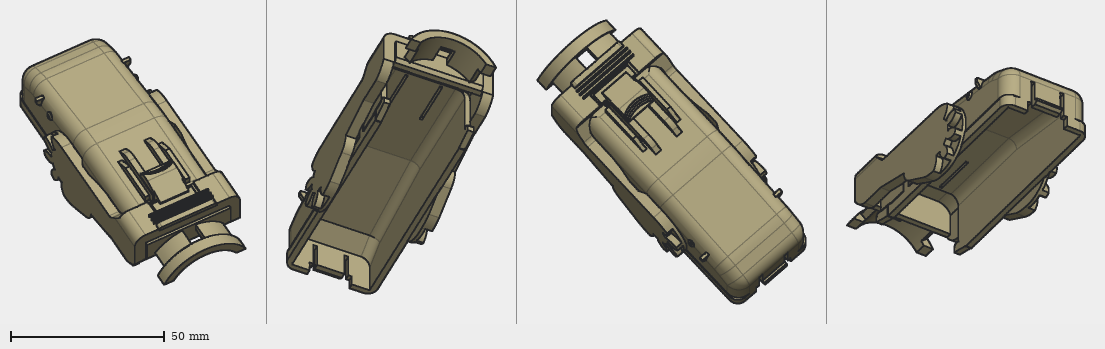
import cadquery as cq
import math


NOSE_X = 1.3
BASE_Z = 4.8
LEDGE_Z = 8.9
ROOF_Z = 29.7
BODY_END = 77.6
BODY_HALF = 15.9
SKIRT_HALF = 16.1
SKIRT_END = 73.2
ROUND_R = 5.2
SKIRT_CORNER_R = 3.6
BROW_X, BROW_Z = 9.9, 25.0
SHOULDER_X = 42.0
NOSE_TOP_Z = 21.4
BROW_R = 14.9
SHOULDER_R = 49.7
TAIL_R = 3.6
WALL = 2.0

LEVER_WIDTH = 39.3
LEVER_HALF = LEVER_WIDTH / 2
PLATE_INNER = 17.2
PIVOT_X, PIVOT_Z = 38.1, 12.2
DISC_R = 12.2
BRIDGE_FRONT = 76.1
BRIDGE_END = 87.6
SLOPE_START = (72.0, 25.8)
SLOPE_END = (BRIDGE_FRONT, 30.2)
BRIDGE_TOP = 32.1
BRIDGE_ROUND = 4.0
LEVER_FOOT_Z = 14.3
REAR_WALL = 2.1
REAR_WALL_Z = 18.7

TONGUE_HALF = 5.8
SLOT_WIDTH = 0.9
SLOT_OUTER = TONGUE_HALF + SLOT_WIDTH
SLOT_START = 60.1

COLLAR_Z = 10.9
COLLAR_INNER_R = 13.9
ARM_R = 16.5
COLLAR_R = 17.0
FLANGE_END = 88.6
RING_START = 95.0
RING_END = 99.4
RING_BOTTOM = 18.5


def box(x0, x1, y0, y1, z0, z1):
    return cq.Workplane("XY").box(x1 - x0, y1 - y0, z1 - z0, centered=False).translate((x0, y0, z0))


def centred_box(x0, x1, half, z0, z1):
    return box(x0, x1, -half, half, z0, z1)


def side_extrude(outline, y0, y1):
    """Extrude a closed XZ outline from y0 to y1."""
    return outline.extrude(y0 - y1).translate((0, y0, 0))


def side_polygon(points, y0, y1):
    return side_extrude(cq.Workplane("XZ").polyline(points).close(), y0, y1)


def both_sides(shape):
    return shape.union(shape.mirror("XZ"))


def near(x, z):
    """Select the edges across the width that pass through (x, z)."""
    tol = 0.1
    return cq.selectors.BoxSelector((x - tol, -tol, z - tol), (x + tol, tol, z + tol))


def make_shell():
    profile = [
        (NOSE_X, LEDGE_Z), (NOSE_X, NOSE_TOP_Z), (BROW_X, BROW_Z),
        (SHOULDER_X, ROOF_Z), (BODY_END, ROOF_Z), (BODY_END, LEDGE_Z),
    ]
    body = side_polygon(profile, -BODY_HALF, BODY_HALF)
    body = body.edges(near(BROW_X, BROW_Z)).fillet(BROW_R)
    body = body.edges(near(SHOULDER_X, ROOF_Z)).fillet(SHOULDER_R)

    corner_edges = body.edges("|Z and <X")
    brow_edge = body.edges(near(NOSE_X, NOSE_TOP_Z))
    roof_edges = body.faces("<Y or >Y").edges("not(|Z or <Z)")
    rounded = corner_edges.add(brow_edge).add(roof_edges)
    body = body.newObject(rounded.vals()).fillet(ROUND_R)

    tail_cut = (
        cq.Workplane("XZ")
        .moveTo(BODY_END - TAIL_R, ROOF_Z)
        .radiusArc((BODY_END, ROOF_Z - TAIL_R), TAIL_R)
        .lineTo(BODY_END, ROOF_Z)
        .close()
    )
    body = body.cut(side_extrude(tail_cut, -BODY_HALF, BODY_HALF))

    skirt = centred_box(NOSE_X, SKIRT_END, SKIRT_HALF, BASE_Z, LEDGE_Z)
    skirt = skirt.edges("|Z and <X").fillet(SKIRT_CORNER_R)
    return body.union(skirt)


def make_side_details():
    lug = side_polygon(
        [(71.6, 9.2), (79.2, 9.9), (80.1, 9.1), (80.1, 6.8), (73.5, 5.1), (71.6, 5.1)],
        BODY_HALF - WALL, SKIRT_HALF,
    )
    groove = box(SKIRT_END, SKIRT_END + 0.3, BODY_HALF, SKIRT_HALF, BASE_Z, 9.3)
    lug = lug.cut(groove)
    strip = box(60.6, 63.6, BODY_HALF - WALL, SKIRT_HALF, LEDGE_Z, LEVER_FOOT_Z)
    tab = (
        cq.Workplane("YZ")
        .polyline([(14.6, 24.3), (17.5, 24.3), (17.5, 22.8), (16.3, 21.0), (15.4, 21.0)])
        .close()
        .extrude(1.3)
        .translate((16.5, 0, 0))
    )
    button = (
        cq.Workplane("XZ", origin=(23.8, 16.5, 22.2))
        .circle(1.5)
        .extrude(2.0)
        .faces(">Y").chamfer(0.6)
        .faces(">Y").workplane().hole(1.2, 0.4)
    )
    return both_sides(lug.union(strip).union(tab).union(button))


def make_cavity():
    inner_nose = NOSE_X + WALL
    profile = [
        (inner_nose, BASE_Z), (inner_nose, NOSE_TOP_Z - WALL), (BROW_X, BROW_Z - WALL),
        (SHOULDER_X, ROOF_Z - WALL), (BODY_END, ROOF_Z - WALL), (BODY_END, BASE_Z),
    ]
    cavity = side_polygon(profile, WALL - BODY_HALF, BODY_HALF - WALL)
    return cavity.faces("<Y or >Y").edges("not(|Z or <Z)").fillet(ROUND_R - WALL)


def cut_nose(shell):
    tab_half = 4.9
    opening_top, slot_top = 8.5, 17.4
    opening = centred_box(NOSE_X, NOSE_X + WALL, 7.6, BASE_Z, opening_top)
    slot = box(NOSE_X, NOSE_X + WALL, tab_half, tab_half + 1.4, opening_top, slot_top)
    hook_root, hook_top = NOSE_X + 0.5, 10.5
    hook = side_polygon(
        [
            (hook_root, hook_top), (0.4, hook_top), (0, 10.1), (0, 9.3),
            (NOSE_X, opening_top), (hook_root, opening_top),
        ],
        -tab_half, tab_half,
    )
    return shell.cut(opening).cut(both_sides(slot)).union(hook)


def make_latch():
    hump_start, crest_x, step_x, tip_x = 65.7, 70.6, 74.6, 78.9
    hump_half, tip_half = 5.6, 5.3
    hump_top, tip_z = 35.3, 32.7
    step_z = hump_top + (tip_z - hump_top) * (step_x - crest_x) / (tip_x - crest_x)
    root_z = ROOF_Z - WALL
    tail_start = BODY_END - TAIL_R
    hump = side_polygon(
        [
            (hump_start, root_z), (hump_start, hump_top), (crest_x, hump_top),
            (step_x, step_z), (step_x, root_z),
        ],
        -hump_half, hump_half,
    )
    tip = side_polygon(
        [
            (step_x, root_z), (step_x, step_z), (tip_x, tip_z),
            (tip_x, tip_z - 0.6), (76.5, 31.2), (75.9, root_z),
        ],
        -tip_half, tip_half,
    )
    grip_r, rise, run = 10.5, 0.6, 0.7
    first_x, first_z = 67.2, 33.0
    for step in range(4):
        front = first_x + step * run
        bite = cq.Workplane("XY").circle(grip_r).extrude(hump_top)
        hump = hump.cut(bite.translate((front - grip_r, 0, first_z + step * rise)))

    rail_start, rail_inner = 52.2, 3.4
    hump = hump.cut(centred_box(hump_start, tail_start, rail_inner, ROOF_Z, BRIDGE_TOP))

    rail_outline = (
        cq.Workplane("XZ")
        .moveTo(rail_start, ROOF_Z)
        .lineTo(54.4, 31.1)
        .threePointArc((56.3, 31.9), (58.4, BRIDGE_TOP))
        .lineTo(step_x, BRIDGE_TOP)
        .lineTo(step_x, root_z)
        .lineTo(rail_start, root_z)
        .close()
    )
    tongue_rail = side_extrude(rail_outline, rail_inner, TONGUE_HALF)
    guide_x, guide_width = 55.7, 1.6
    guide_rail = side_polygon(
        [
            (guide_x, root_z), (guide_x, ROOF_Z), (60.6, BRIDGE_TOP),
            (tail_start, BRIDGE_TOP), (tail_start, root_z),
        ],
        SLOT_OUTER, SLOT_OUTER + guide_width,
    )
    return hump.union(tip).union(both_sides(tongue_rail.union(guide_rail)))


def polar(radius, degrees):
    """XZ point at an angle about the lever pivot."""
    angle = math.radians(degrees)
    return PIVOT_X + radius * math.cos(angle), PIVOT_Z + radius * math.sin(angle)


def make_notch(degrees):
    """Rim notch with convex flanks that open out towards the rim."""
    floor_r, floor_half = 7.0, 9.0
    flank_r, flank_half = 9.5, 9.0
    rim_half = 16.5
    rim_r = DISC_R + 0.1
    outline = (
        cq.Workplane("XZ")
        .moveTo(*polar(rim_r, degrees - rim_half))
        .threePointArc(polar(flank_r, degrees - flank_half), polar(floor_r, degrees - floor_half))
        .lineTo(*polar(floor_r, degrees + floor_half))
        .threePointArc(polar(flank_r, degrees + flank_half), polar(rim_r, degrees + rim_half))
        .threePointArc(polar(rim_r + 1.0, degrees), polar(rim_r, degrees - rim_half))
        .close()
    )
    return side_extrude(outline, PLATE_INNER, LEVER_HALF)


def make_lever_side():
    rim_top = polar(DISC_R, 90)
    rim_bottom = polar(DISC_R, 278)
    outline = (
        cq.Workplane("XZ")
        .moveTo(*rim_bottom)
        .threePointArc(polar(DISC_R, 184), rim_top)
        .lineTo(70.2, 24.9)
        .threePointArc((71.2, 25.2), SLOPE_START)
        .lineTo(*SLOPE_END)
        .lineTo(BRIDGE_FRONT, BRIDGE_TOP)
        .lineTo(BRIDGE_END, BRIDGE_TOP)
        .lineTo(BRIDGE_END, REAR_WALL_Z)
        .threePointArc((85.9, 16.6), (81.5, LEVER_FOOT_Z))
        .lineTo(71.9, LEVER_FOOT_Z)
        .lineTo(57.9, 10.9)
        .threePointArc((57.1, 8.2), (54.7, 6.0))
        .lineTo(45.4, 1.2)
        .threePointArc((42.7, 0.4), rim_bottom)
        .close()
    )
    side = side_extrude(outline, BODY_HALF, LEVER_HALF)

    first_angle, pitch = 139, 41
    for index in range(4):
        side = side.cut(make_notch(first_angle + pitch * index))

    relief = (
        cq.Workplane("XY")
        .polyline([
            (45.4, BODY_HALF), (48.0, PLATE_INNER), (52.2, PLATE_INNER),
            (57.7, 16.3), (62.6, BODY_HALF),
        ])
        .close()
        .extrude(BRIDGE_TOP)
        .translate((0, 0, REAR_WALL_Z))
    )
    return side.cut(relief)


def make_bridge():
    block = centred_box(BRIDGE_FRONT, BRIDGE_END, LEVER_HALF, REAR_WALL_Z, BRIDGE_TOP)
    slope_x, slope_z = SLOPE_START
    slope_top = SLOPE_END[1]
    slope = [SLOPE_START, SLOPE_END, (BRIDGE_FRONT, slope_z)]
    block = block.union(side_polygon(slope, -LEVER_HALF, LEVER_HALF))
    passage = centred_box(slope_x, BRIDGE_END - REAR_WALL, SKIRT_HALF, REAR_WALL_Z, slope_top)
    passage = passage.edges("|X and >Z").fillet(ROUND_R)

    recess = centred_box(BRIDGE_FRONT, 81.2, 8.4, 31.1, BRIDGE_TOP)
    pan = centred_box(76.6, 80.7, 7.6, 30.7, BRIDGE_TOP)
    block = block.cut(passage).cut(recess).cut(pan)

    rib_width = 0.5
    for rib_x in (81.4, 83.0, 84.5):
        block = block.union(centred_box(rib_x, rib_x + rib_width, 11.0, BRIDGE_TOP - 0.5, 32.9))
    lip = centred_box(86.0, 88.2, 10.7, BRIDGE_TOP - 0.1, 33.4).edges("|X and >Z").fillet(1.0)
    return block.union(lip)


def round_bridge(lever):
    """Round the long upper outer edges of the bridge."""
    outer_y = LEVER_HALF - BRIDGE_ROUND
    corner_z = BRIDGE_TOP - BRIDGE_ROUND
    trim = (
        cq.Workplane("YZ")
        .moveTo(outer_y, BRIDGE_TOP)
        .radiusArc((LEVER_HALF, corner_z), BRIDGE_ROUND)
        .lineTo(LEVER_HALF, BRIDGE_TOP)
        .close()
        .extrude(BRIDGE_END)
    )
    return lever.cut(both_sides(trim))


def arch(x0, x1, outer_r):
    length = x1 - x0
    ring = cq.Workplane("YZ").circle(outer_r).circle(COLLAR_INNER_R).extrude(length)
    return ring.translate((x0, 0, COLLAR_Z))


def make_collar():
    flange = centred_box(BRIDGE_END - REAR_WALL, FLANGE_END, 15.6, REAR_WALL_Z, 27.8)
    flange = flange.edges("|Y and >X and <Z").chamfer(1.6, 1.0)

    gap_half, arm_angle = 2.5, math.radians(50)
    reach = COLLAR_R / math.cos(arm_angle)
    arm_sector = (
        cq.Workplane("YZ")
        .polyline([
            (0, COLLAR_Z),
            (reach * math.sin(arm_angle), COLLAR_Z + COLLAR_R),
            (-reach * math.sin(arm_angle), COLLAR_Z + COLLAR_R),
        ])
        .close()
        .extrude(RING_END)
    )
    arms = arch(BRIDGE_END, RING_START + 0.5, ARM_R).intersect(arm_sector)
    arms = arms.cut(centred_box(FLANGE_END, RING_END, gap_half, 0, BRIDGE_TOP))

    ring = arch(RING_START, RING_END, COLLAR_R)
    ring = ring.intersect(centred_box(RING_START, RING_END, COLLAR_R, RING_BOTTOM, BRIDGE_TOP))
    return flange.union(arms).union(ring)


housing = cut_nose(make_shell().cut(make_cavity()))
housing = housing.union(make_side_details()).union(make_latch())
latch_slot = box(SLOT_START, BRIDGE_FRONT, TONGUE_HALF, SLOT_OUTER, ROOF_Z - 2 * WALL, BRIDGE_TOP)
housing = housing.cut(both_sides(latch_slot))

lever = round_bridge(make_bridge().union(both_sides(make_lever_side())))

result = housing.union(lever).union(make_collar())